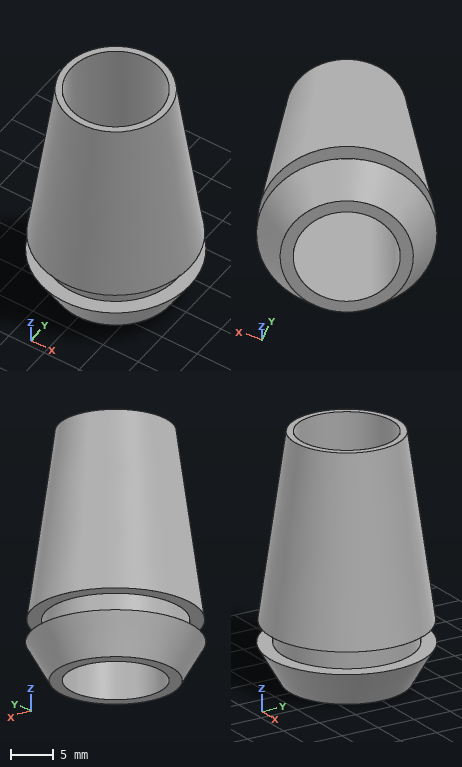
import cadquery as cq
import math

height = 31.5
collar_radius = 21.3 / 2

taper_angle = 8.0
taper_base_radius = 21.0 / 2
taper_base_z = 7.65

groove_radius = 17.45 / 2
nose_height = 4.85
nose_angle = 30.0

bore_radius = 6.3

taper_top_radius = taper_base_radius - (height - taper_base_z) * math.tan(math.radians(taper_angle))
nose_tip_radius = collar_radius - nose_height * math.tan(math.radians(nose_angle))

half_section = (
    cq.Workplane("XZ")
    .moveTo(bore_radius, 0)
    .lineTo(nose_tip_radius, 0)
    .lineTo(collar_radius, nose_height)
    .lineTo(groove_radius, nose_height)
    .lineTo(groove_radius, taper_base_z)
    .lineTo(taper_base_radius, taper_base_z)
    .lineTo(taper_top_radius, height)
    .lineTo(bore_radius, height)
    .close()
)
result = half_section.revolve(360, (0, 0, 0), (0, 1, 0))